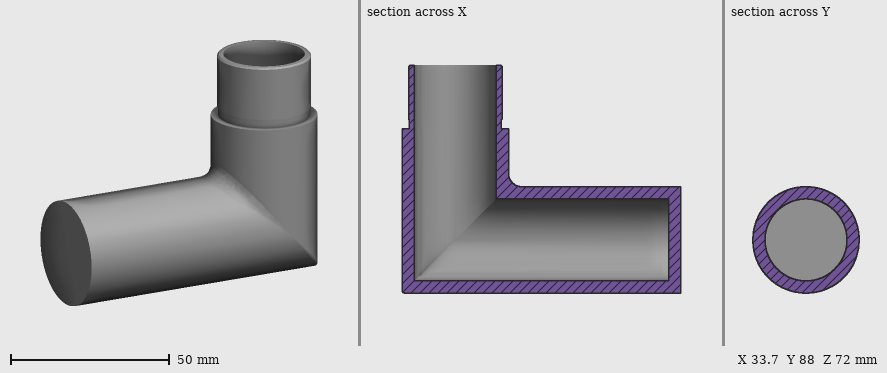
import cadquery as cq

tube_diameter = 33.7
tube_radius = tube_diameter / 2
bore_diameter = 25.7
bore_radius = bore_diameter / 2
wall = tube_radius - bore_radius

overall_length = 88.0
overall_height = 72.0
lying_reach = overall_length - tube_radius
spigot_top = overall_height - tube_radius

spigot_length = 20.0
spigot_diameter = 29.7
spigot_chamfer = 0.5
groove_diameter = 29.1
groove_height = 2.8
shoulder = spigot_top - spigot_length

inside_corner_fillet = 4.0
outside_corner_fillet = 1.0

cutter_size = 4 * overall_length


def prism_along_x(outline):
    """Wide prism along X with the given (y, z) outline, used to keep one part of a body."""
    return cq.Workplane("YZ").polyline(outline).close().extrude(cutter_size, both=True)


def mitred_elbow(radius, top, reach):
    """Two round bars of one radius joined square on the mitre plane z = -y."""
    upright = cq.Workplane("XY", origin=(0, 0, -radius)).circle(radius).extrude(top + radius)
    lying = cq.Workplane("XZ", origin=(0, radius, 0)).circle(radius).extrude(reach + radius)
    far = cutter_size
    above_mitre = prism_along_x([(-far, far), (far, far), (far, -far)])
    below_mitre = prism_along_x([(-far, far), (-far, -far), (far, -far)])
    return upright.intersect(above_mitre).union(lying.intersect(below_mitre))


def round_mitre(elbow, side, fillet):
    """Half of the elbow on one side of the plane z = y, with its mitre edge rounded.

    The side is 1 for the inside of the corner (-Y, +Z) and -1 for the outside (+Y, -Z).
    """
    far = cutter_size
    half = elbow.intersect(prism_along_x([(-far, -far), (far, far), (-side * far, side * far)]))
    mitre_region = cq.selectors.BoxSelector((-far, 0, 0), (far, -side * far, side * far))
    return half.edges("%ELLIPSE").edges(mitre_region).fillet(fillet)


def spigot():
    """Chamfered sleeve standing on the slightly narrower groove above the shoulder."""
    groove = (
        cq.Workplane("XY", origin=(0, 0, shoulder))
        .circle(groove_diameter / 2)
        .extrude(groove_height)
    )
    sleeve = (
        groove.faces(">Z")
        .workplane()
        .circle(spigot_diameter / 2)
        .extrude(spigot_length - groove_height)
    )
    return sleeve.faces(">Z").edges().chamfer(spigot_chamfer)


sharp_elbow = mitred_elbow(tube_radius, shoulder, lying_reach)
inside_half = round_mitre(sharp_elbow, 1, inside_corner_fillet)
outside_half = round_mitre(sharp_elbow, -1, outside_corner_fillet)
body = inside_half.union(outside_half).union(spigot())

bore = mitred_elbow(bore_radius, spigot_top, lying_reach - wall)
result = body.cut(bore).clean()